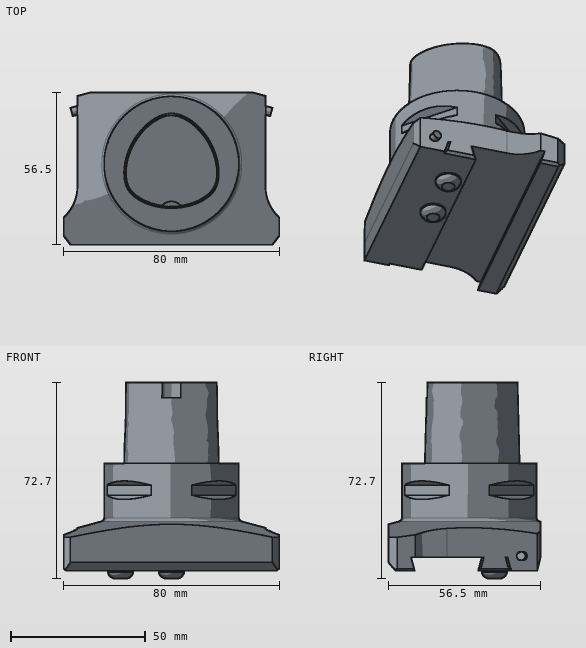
import cadquery as cq
import math

TOP_Z = 69.8
COLLAR_TOP_Z = 39.8
CONE_TOP_Z = 18.6
CONE_ANGLE = 15
COLLAR_RADIUS = 50.0 / 2
COLLAR_ROOT_FILLET = 1.3

FRONT_Y = -30.0
BACK_Y = 26.5
HALF_LENGTH = 40.0
HALF_BODY = 34.9
FRONT_CORNER = (2.6, 3.4)
BACK_CORNER = (4.9, 1.3)
WAIST_START_Y = -8.4
WAIST_END_Y = -19.9
FRONT_BOTTOM_CHAMFER = (2.8, 3.1)
BACK_BOTTOM_CHAMFER = (1.3, 5.1)

GROOVE_DEPTH = 5.0
GROOVE_FRONT_Y = -20.2
GROOVE_BACK_Y = 3.3
CLAMP_BACK_Y = 15.6
DOVETAIL_SLOPE = math.tan(math.radians(15))
END_CHAMFER = (1.1, 0.9)
CLAMP_FLANK_CHAMFER = 0.8

SHANK_ROOT_RADIUS = 17.6
SHANK_LOBE = 1.1
SHANK_TAPER = 1 / 40
SHANK_POINTS = 36
KEY_RADIUS = 4.5
KEY_DEPTH = 5.6
KEY_INNER_Y = -13.9

NOTCH_Z = 29.9
NOTCH_FLOOR_HEIGHT = 3.6
NOTCH_FLOOR_RADIUS = 22.2
NOTCH_FLANK_ANGLE = 30
NOTCH_ANGLES = (45, 135, 225, 315)

SCREW_RADIUS = 9.5 / 2
SCREW_TIP_RADIUS = 2.4
SCREW_RIM = 0.6
SCREW_DROP = 2.9
SCREW_BULGE = (4.0, -1.9)
SCREW_Y = 9.4
SCREW_XS = (-18.9, 0)
PIN_RADIUS = 3.3 / 2
PIN_END = (37.0, 19.2, 5.5)
PIN_LENGTH = 6.4
PIN_TILT = math.radians(15)


def prism_along_x(points, x_start, length):
    """Extrude a closed outline of (y, z) points along +X."""
    return cq.Workplane("YZ", origin=(x_start, 0, 0)).polyline(points).close().extrude(length)


def base_outline():
    across = HALF_LENGTH - HALF_BODY
    along = WAIST_START_Y - WAIST_END_Y
    waist_radius = (across**2 + along**2) / (2 * across)
    half_angle = math.asin(along / waist_radius) / 2
    waist_mid = (
        HALF_BODY + waist_radius * (1 - math.cos(half_angle)),
        WAIST_START_Y - waist_radius * math.sin(half_angle),
    )
    front_x = HALF_LENGTH - FRONT_CORNER[0]
    front_side_y = FRONT_Y + FRONT_CORNER[1]
    back_x = HALF_BODY - BACK_CORNER[0]
    back_side_y = BACK_Y - BACK_CORNER[1]
    return (
        cq.Workplane("XY")
        .moveTo(-front_x, FRONT_Y)
        .lineTo(front_x, FRONT_Y)
        .lineTo(HALF_LENGTH, front_side_y)
        .lineTo(HALF_LENGTH, WAIST_END_Y)
        .threePointArc(waist_mid, (HALF_BODY, WAIST_START_Y))
        .lineTo(HALF_BODY, back_side_y)
        .lineTo(back_x, BACK_Y)
        .lineTo(-back_x, BACK_Y)
        .lineTo(-HALF_BODY, back_side_y)
        .lineTo(-HALF_BODY, WAIST_START_Y)
        .threePointArc((-waist_mid[0], waist_mid[1]), (-HALF_LENGTH, WAIST_END_Y))
        .lineTo(-HALF_LENGTH, front_side_y)
        .close()
    )


def make_base_and_collar():
    """Base trimmed by a cone that rises to the filleted root of the collar."""
    reach = 2 * HALF_LENGTH
    slope = math.tan(math.radians(CONE_ANGLE))
    cone_edge_z = CONE_TOP_Z - (reach - COLLAR_RADIUS) * slope
    below = -reach
    envelope = (
        cq.Workplane("XZ")
        .polyline([
            (0, below),
            (reach, below),
            (reach, cone_edge_z),
            (COLLAR_RADIUS, CONE_TOP_Z),
            (COLLAR_RADIUS, COLLAR_TOP_Z),
            (0, COLLAR_TOP_Z),
        ])
        .close()
        .revolve(360, (0, 0, 0), (0, 1, 0))
    )
    root = cq.selectors.NearestToPointSelector((COLLAR_RADIUS, 0, CONE_TOP_Z))
    root_edges = envelope.edges("%CIRCLE").edges(root)
    envelope = root_edges.fillet(COLLAR_ROOT_FILLET)
    return base_outline().extrude(COLLAR_TOP_Z).intersect(envelope)


def cut_bottom_edges(body):
    run, rise = FRONT_BOTTOM_CHAMFER
    front = [(FRONT_Y, 0), (FRONT_Y + run, 0), (FRONT_Y, rise)]
    run, rise = BACK_BOTTOM_CHAMFER
    back = [(BACK_Y, 0), (BACK_Y - run, 0), (BACK_Y, rise)]
    for outline in (front, back):
        body = body.cut(prism_along_x(outline, -HALF_LENGTH, 2 * HALF_LENGTH))
    return body


def cut_dovetail(body):
    spread = GROOVE_DEPTH * DOVETAIL_SLOPE
    groove = [
        (GROOVE_FRONT_Y, 0),
        (GROOVE_BACK_Y, 0),
        (GROOVE_BACK_Y + spread, GROOVE_DEPTH),
        (GROOVE_FRONT_Y - spread, GROOVE_DEPTH),
    ]
    return body.cut(prism_along_x(groove, -HALF_LENGTH, 2 * HALF_LENGTH))


def end_chamfer_cutter(half_length, y_min, y_max):
    """Wedge along the lower +X edge between two Y positions."""
    run, rise = END_CHAMFER
    return (
        cq.Workplane("XZ", origin=(0, y_max, 0))
        .polyline([(half_length - run, 0), (half_length, 0), (half_length, rise)])
        .close()
        .extrude(y_max - y_min)
    )


def clamp_section(x, inset):
    """Closed dovetail section of the clamp strip with both flanks moved inwards."""
    spread = GROOVE_DEPTH * DOVETAIL_SLOPE
    return (
        cq.Workplane("YZ", origin=(x, 0, 0))
        .polyline([
            (GROOVE_BACK_Y + inset, 0),
            (CLAMP_BACK_Y - inset, 0),
            (CLAMP_BACK_Y - inset - spread, GROOVE_DEPTH),
            (GROOVE_BACK_Y + inset + spread, GROOVE_DEPTH),
        ])
        .close()
    )


def cut_end_chamfers(body):
    """Bevel the ends of the front lip and of the clamp strip, on both sides."""
    bevel_start = HALF_BODY - END_CHAMFER[0]
    strip_end = clamp_section(bevel_start, 0).extrude(END_CHAMFER[0])
    bevelled_end = cq.Workplane(
        cq.Solid.makeLoft(
            [
                clamp_section(bevel_start, 0).val(),
                clamp_section(HALF_BODY, CLAMP_FLANK_CHAMFER).val(),
            ],
            True,
        )
    )
    cutters = [
        end_chamfer_cutter(HALF_LENGTH, FRONT_Y, GROOVE_FRONT_Y),
        end_chamfer_cutter(HALF_BODY, GROOVE_BACK_Y, CLAMP_BACK_Y),
        strip_end.cut(bevelled_end),
    ]
    for cutter in cutters:
        body = body.cut(cutter).cut(cutter.mirror("YZ"))
    return body


def cut_notches(body):
    depth = COLLAR_RADIUS - NOTCH_FLOOR_RADIUS
    floor_half = NOTCH_FLOOR_HEIGHT / 2
    mouth_half = floor_half + depth * math.tan(math.radians(NOTCH_FLANK_ANGLE))
    notch = (
        cq.Workplane("XZ", origin=(0, COLLAR_RADIUS, 0))
        .polyline([
            (NOTCH_FLOOR_RADIUS, NOTCH_Z - floor_half),
            (COLLAR_RADIUS, NOTCH_Z - mouth_half),
            (COLLAR_RADIUS, NOTCH_Z + mouth_half),
            (NOTCH_FLOOR_RADIUS, NOTCH_Z + floor_half),
        ])
        .close()
        .extrude(2 * COLLAR_RADIUS)
    )
    for angle in NOTCH_ANGLES:
        body = body.cut(notch.rotate((0, 0, 0), (0, 0, 1), angle))
    return body


def trigon_point(radius, angle, z):
    """Point of the three-lobed curve of constant width; angle 0 is the +Y lobe."""
    along = (
        radius * math.cos(angle)
        + 2 * SHANK_LOBE * math.cos(2 * angle)
        - SHANK_LOBE * math.cos(4 * angle)
    )
    across = (
        radius * math.sin(angle)
        - 2 * SHANK_LOBE * math.sin(2 * angle)
        - SHANK_LOBE * math.sin(4 * angle)
    )
    return cq.Vector(across, along, z)


def trigon_wire(radius, z):
    angles = [2 * math.pi * i / SHANK_POINTS for i in range(SHANK_POINTS)]
    points = [trigon_point(radius, angle, z) for angle in angles]
    return cq.Wire.assembleEdges([cq.Edge.makeSpline(points, periodic=True)])


def make_shank():
    top_radius = SHANK_ROOT_RADIUS - (TOP_Z - COLLAR_TOP_Z) * SHANK_TAPER
    root = trigon_wire(SHANK_ROOT_RADIUS, COLLAR_TOP_Z)
    top = trigon_wire(top_radius, TOP_Z)
    shank = cq.Workplane(cq.Solid.makeLoft([root, top], True))
    key = (
        cq.Workplane("XY", origin=(0, KEY_INNER_Y - KEY_RADIUS, TOP_Z - KEY_DEPTH))
        .circle(KEY_RADIUS)
        .extrude(KEY_DEPTH)
    )
    return shank.cut(key)


def make_screw_head():
    return (
        cq.Workplane("XZ")
        .lineTo(SCREW_RADIUS, 0)
        .lineTo(SCREW_RADIUS, -SCREW_RIM)
        .threePointArc(SCREW_BULGE, (SCREW_TIP_RADIUS, -SCREW_DROP))
        .lineTo(0, -SCREW_DROP)
        .close()
        .revolve(360, (0, 0, 0), (0, 1, 0))
    )


def make_pin():
    """Pin on the +X side, leaning towards -Y as it leaves the body."""
    inward = cq.Vector(-math.cos(PIN_TILT), math.sin(PIN_TILT), 0)
    return cq.Workplane(cq.Solid.makeCylinder(PIN_RADIUS, PIN_LENGTH, cq.Vector(*PIN_END), inward))


body = make_base_and_collar()
body = cut_bottom_edges(body)
body = cut_dovetail(body)
body = cut_end_chamfers(body)
body = cut_notches(body)
body = body.union(make_shank())
for screw_x in SCREW_XS:
    body = body.union(make_screw_head().translate((screw_x, SCREW_Y, 0)))
pin = make_pin()
result = body.union(pin).union(pin.mirror("YZ"))